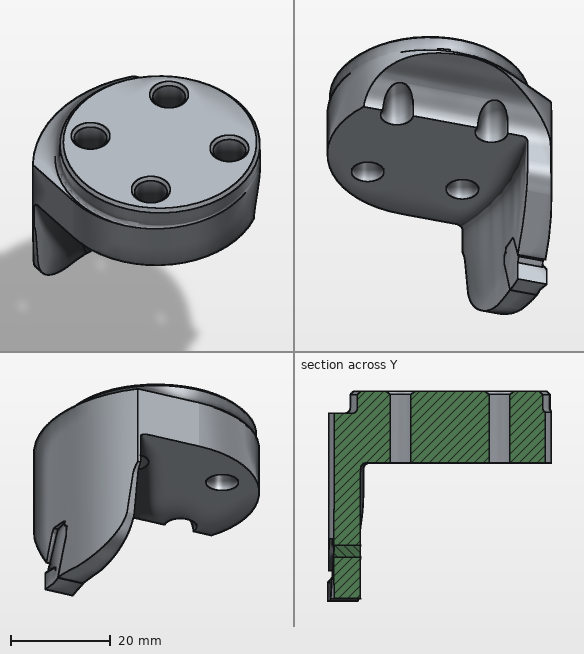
import cadquery as cq
import math


DISC_RADIUS = 40.0 / 2
DISC_HEIGHT = 4.4
DISC_CHAMFER = 0.65
ROOT_FILLET = 1.0

HOLE_DIAMETER = 6.5
HOLE_SPACING = 19.8
HOLE_CHAMFER = 0.63
CHAMFER_ANGLE = 90

HEAD_RADIUS = 20.85
HEAD_CENTER = -0.55
FLAT_ANGLE = 32
OUTER_RADIUS = 27.35
BLADE_LEFT = -24.3
OUTER_CENTER_X = BLADE_LEFT + OUTER_RADIUS
FRONT_Y = HEAD_CENTER - HEAD_RADIUS
CORNER_FILLET = 1.55

FLANGE_THICKNESS = 10.0
INNER_RADIUS = 47.95
BLADE_INNER_LEFT = -18.45
INNER_CENTER_X = BLADE_INNER_LEFT + INNER_RADIUS
BLADE_ROOT_FILLET = 1.1
BLADE_BACK_Y = 10.5
BLADE_BOTTOM = -37.1
BACK_SCOOP_RADIUS = 11.65

BACK_BEND_START = (BLADE_BACK_Y, -15.75)
BACK_BEND_MID = (9.95, -18.9)
BACK_BEND_END = (8.4, -21.6)
INSERT_SEAT_TOP = (-0.05, -31.5)
INSERT_SEAT_BOTTOM = (-3.15, BLADE_BOTTOM)
NOSE_START = (-10.2, BLADE_BOTTOM)
NOSE_MID = (-17.6, -33.0)
NOSE_END = (-19.9, -27.9)
FRONT_BEND_START = (-20.65, -20.03)
FRONT_BEND_MID = (-20.9, -18.1)
FRONT_BEND_END = (FRONT_Y, -16.65)

TIP_BOTTOM = -37.65
TIP_Y = 0.05
TIP_X = -24.5
TIP_WIDTH = 3.2
TIP_TOP = -33.9
TIP_SLOPE_TOP = -32.35
INSERT_TOP = -25.15
INSERT_UPPER_X = -23.1
INSERT_LOWER_X = -23.9
TIP_ROOT_X = -23.7
TIP_BACK_X = -23.05

TOOL_LENGTH = 134.4


def plan_outline():
    """Round head with a front flat, a sloping side flat and a curved outer blade face."""
    angle = math.radians(FLAT_ANGLE)
    tangent_x = HEAD_CENTER - HEAD_RADIUS * math.sin(angle)
    tangent_y = HEAD_CENTER + HEAD_RADIUS * math.cos(angle)

    offset_x = tangent_x - OUTER_CENTER_X
    along = offset_x * math.cos(angle) + tangent_y * math.sin(angle)
    outside = offset_x**2 + tangent_y**2 - OUTER_RADIUS**2
    flat_length = along + math.sqrt(along**2 - outside)
    corner_x = tangent_x - flat_length * math.cos(angle)
    corner_y = tangent_y - flat_length * math.sin(angle)

    front_x = OUTER_CENTER_X - math.sqrt(OUTER_RADIUS**2 - FRONT_Y**2)
    return (
        cq.Workplane("XY")
        .moveTo(front_x, FRONT_Y)
        .lineTo(HEAD_CENTER, FRONT_Y)
        .threePointArc((HEAD_CENTER + HEAD_RADIUS, HEAD_CENTER), (tangent_x, tangent_y))
        .lineTo(corner_x, corner_y)
        .threePointArc((BLADE_LEFT, 0), (front_x, FRONT_Y))
        .close()
    )


def side_profile():
    """Shape of the holder across Y and Z: scooped back and tapered, rounded blade end."""
    scoop_y = BLADE_BACK_Y + BACK_SCOOP_RADIUS
    scoop_mid = BACK_SCOOP_RADIUS * (1 - math.sqrt(0.5))
    return (
        cq.Workplane("YZ")
        .moveTo(FRONT_Y, 0)
        .lineTo(scoop_y, 0)
        .threePointArc(
            (BLADE_BACK_Y + scoop_mid, -scoop_mid),
            (BLADE_BACK_Y, -BACK_SCOOP_RADIUS),
        )
        .lineTo(*BACK_BEND_START)
        .threePointArc(BACK_BEND_MID, BACK_BEND_END)
        .lineTo(*INSERT_SEAT_TOP)
        .lineTo(*INSERT_SEAT_BOTTOM)
        .lineTo(*NOSE_START)
        .threePointArc(NOSE_MID, NOSE_END)
        .lineTo(*FRONT_BEND_START)
        .threePointArc(FRONT_BEND_MID, FRONT_BEND_END)
        .close()
        .extrude(TOOL_LENGTH / 2, both=True)
    )


def inner_clearance(top):
    """Cylinder bounding the inner face of the blade."""
    return (
        cq.Workplane("XY", origin=(INNER_CENTER_X, 0, top))
        .circle(INNER_RADIUS)
        .extrude(-TOOL_LENGTH)
    )


def make_disc():
    """Locating disc with a chamfered rim and a concave fillet at its root."""
    fillet_mid = ROOT_FILLET * (1 - math.sqrt(0.5))
    return (
        cq.Workplane("XZ")
        .moveTo(0, 0)
        .lineTo(DISC_RADIUS + ROOT_FILLET, 0)
        .threePointArc((DISC_RADIUS + fillet_mid, fillet_mid), (DISC_RADIUS, ROOT_FILLET))
        .lineTo(DISC_RADIUS, DISC_HEIGHT - DISC_CHAMFER)
        .lineTo(DISC_RADIUS - DISC_CHAMFER, DISC_HEIGHT)
        .lineTo(0, DISC_HEIGHT)
        .close()
        .revolve(360, (0, 0, 0), (0, 1, 0))
    )


def insert_prism():
    """Outline of the insert across Y and Z, extended along X."""
    outline = [
        (-3.15, INSERT_TOP),
        (-6.7, INSERT_TOP),
        (-6.8, -26.2),
        (-7.4, -26.55),
        (-7.35, -28.75),
        (-4.55, -37.2),
        (TIP_Y, TIP_BOTTOM),
        (TIP_Y, -33.55),
        (0.6, -32.4),
        INSERT_SEAT_TOP,
        (-2.5, -26.0),
    ]
    return cq.Workplane("YZ").polyline(outline).close().extrude(TOOL_LENGTH / 2, both=True)


def make_holder():
    blade = plan_outline().extrude(BLADE_BOTTOM)
    blade = blade.edges("|Z").edges("<X").fillet(CORNER_FILLET)
    blade = blade.intersect(side_profile())
    under_flange = inner_clearance(-FLANGE_THICKNESS).faces(">Z").edges().fillet(BLADE_ROOT_FILLET)
    blade = blade.cut(under_flange)
    disc = make_disc().intersect(plan_outline().extrude(DISC_HEIGHT))
    body = (
        blade.union(disc)
        .faces(">Z")
        .workplane(origin=(0, 0, DISC_HEIGHT))
        .rect(HOLE_SPACING, HOLE_SPACING, forConstruction=True)
        .vertices()
        .cskHole(HOLE_DIAMETER, HOLE_DIAMETER + 2 * HOLE_CHAMFER, CHAMFER_ANGLE)
    )
    return body.cut(insert_prism())


def make_tip():
    """Cutting corner: a wedge standing out of the insert face, with a sloping top facet."""
    edge_outer = (TIP_X, TIP_Y)
    edge_inner = (TIP_ROOT_X, TIP_Y - TIP_WIDTH)
    back = (TIP_BACK_X, TIP_Y)
    wedge = (
        cq.Workplane("XY", origin=(0, 0, TIP_BOTTOM))
        .polyline([edge_outer, edge_inner, back])
        .close()
        .extrude(TIP_TOP - TIP_BOTTOM)
    )
    base = [cq.Vector(x, y, TIP_TOP) for x, y in (edge_outer, edge_inner, back)]
    peak = cq.Vector(TIP_BACK_X, TIP_Y, TIP_SLOPE_TOP)
    triangles = [base] + [[base[i], base[i - 1], peak] for i in range(3)]
    faces = [cq.Face.makeFromWires(cq.Wire.makePolygon(t, close=True)) for t in triangles]
    facet = cq.Solid.makeSolid(cq.Shell.makeShell(faces))
    return wedge.union(cq.Workplane(facet)).intersect(insert_prism())


def make_insert():
    face_profile = (
        cq.Workplane("XZ")
        .moveTo(INSERT_UPPER_X, INSERT_TOP)
        .lineTo(INSERT_LOWER_X, TIP_BOTTOM)
        .lineTo(0, TIP_BOTTOM)
        .lineTo(0, INSERT_TOP)
        .close()
        .extrude(TOOL_LENGTH / 2, both=True)
    )
    slab = insert_prism().intersect(face_profile).cut(inner_clearance(0))
    return slab.union(make_tip())


holder = make_holder()
insert = make_insert()
result = cq.Compound.makeCompound([holder.val(), insert.val()])